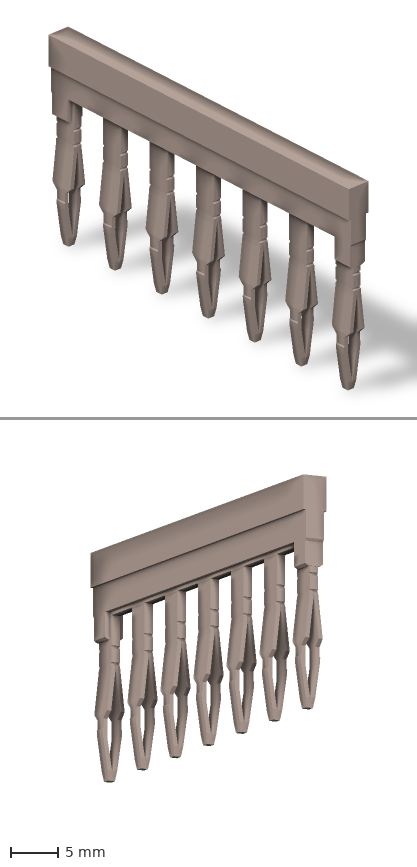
import cadquery as cq
import math


LENGTH = 47.3
BAR_THICKNESS = 2.8
BAR_BOTTOM = -3.75
BODY_THICKNESS = 2.15
BODY_BOTTOM = -6.75
END_INSET = 0.2
END_INSET_HEIGHT = 0.3
TAB_INNER_X = 21.0
TAB_BOTTOM = -9.7
TAB_CHAMFER_HEIGHT = 0.25
TAB_CHAMFER_DEPTH = 0.4

PIN_COUNT = 7
PIN_PITCH = 7.35
PIN_WIDTH = 2.85
PIN_THICKNESS = 1.0
RAIL_THICKNESS = 1.1
RAIL_BOTTOM = -7.15
ROOT_HEIGHT = 0.15
COMB_END_X = 23.2

NOTCH_RADIUS = 0.165
NOTCH_HEIGHTS = (-10.55, -12.35)

SHOULDER_TOP = -17.4
SHOULDER_BOTTOM = -18.15
NECK_WIDTH = 1.3
TIP_TAPER_TOP = -23.65
TIP_WIDTH = 0.85
PIN_BOTTOM = -24.75

BEND_TOP = -12.1
BEND_BOTTOM = -13.1
SPLAY_ANGLE = 6.6
SPLAY_BOTTOM = -17.65
CONTACT_TOP = -18.15
CONTACT_OUTER_Y = 1.1
LEDGE_TOP = -19.15
LEDGE_BOTTOM = -19.3
LEDGE_OUTER_Y = 1.2
TAPER_TOP = -20.55
TAPER_OUTER_Y = 1.05
TAPER_BULGE = 0.025
TAPER_INNER_Y = 0.545
TIP_OUTER_Y = 0.43
WINDOW_BOTTOM = -23.9

BLADE_THICKNESS = PIN_THICKNESS / 2
CONTACT_INNER_Y = CONTACT_OUTER_Y - BLADE_THICKNESS
COMB_LENGTH = (PIN_COUNT - 1) * PIN_PITCH + PIN_WIDTH
SPLAY_SLOPE = math.tan(math.radians(SPLAY_ANGLE))
BEND_SHIFT = (BEND_TOP - BEND_BOTTOM) * math.tan(math.radians(SPLAY_ANGLE / 2))
SPLAY_SHIFT = BEND_SHIFT + (BEND_BOTTOM - SPLAY_BOTTOM) * SPLAY_SLOPE


def block(x_size, y_size, z_bottom, z_top):
    """Box centred on X and Y between two heights."""
    return cq.Workplane("XY").workplane(offset=z_bottom).rect(x_size, y_size).extrude(z_top - z_bottom)


def make_blade():
    """One spring blade on the +Y side, full pin width, joined to its twin above and at the tip."""
    arc_middle_z = (LEDGE_BOTTOM + TAPER_TOP) / 2
    outer_arc_middle = ((LEDGE_OUTER_Y + TAPER_OUTER_Y) / 2 + TAPER_BULGE, arc_middle_z)
    inner_arc_middle = ((CONTACT_INNER_Y + TAPER_INNER_Y) / 2 + TAPER_BULGE, arc_middle_z)
    return (
        cq.Workplane("YZ")
        .moveTo(0, BAR_BOTTOM)
        .lineTo(RAIL_THICKNESS / 2, BAR_BOTTOM)
        .lineTo(RAIL_THICKNESS / 2, RAIL_BOTTOM)
        .lineTo(BLADE_THICKNESS, RAIL_BOTTOM - ROOT_HEIGHT)
        .lineTo(BLADE_THICKNESS, BEND_TOP)
        .tangentArcPoint((BLADE_THICKNESS + BEND_SHIFT, BEND_BOTTOM), relative=False)
        .lineTo(BLADE_THICKNESS + SPLAY_SHIFT, SPLAY_BOTTOM)
        .lineTo(CONTACT_OUTER_Y, CONTACT_TOP)
        .lineTo(CONTACT_OUTER_Y, LEDGE_TOP)
        .lineTo(LEDGE_OUTER_Y, LEDGE_BOTTOM)
        .threePointArc(outer_arc_middle, (TAPER_OUTER_Y, TAPER_TOP))
        .lineTo(TIP_OUTER_Y, PIN_BOTTOM)
        .lineTo(0, PIN_BOTTOM)
        .lineTo(0, WINDOW_BOTTOM)
        .lineTo(TAPER_INNER_Y, TAPER_TOP)
        .threePointArc(inner_arc_middle, (CONTACT_INNER_Y, LEDGE_BOTTOM))
        .lineTo(CONTACT_INNER_Y, CONTACT_TOP)
        .lineTo(SPLAY_SHIFT, SPLAY_BOTTOM)
        .lineTo(BEND_SHIFT, BEND_BOTTOM)
        .lineTo(0, BEND_TOP)
        .close()
        .extrude(PIN_WIDTH / 2, both=True)
    )


def make_front_outline():
    """Pin silhouette with shoulders, narrow neck and tapered tip, extruded through Y."""
    half_outline = [
        (PIN_WIDTH / 2, BAR_BOTTOM),
        (PIN_WIDTH / 2, SHOULDER_TOP),
        (NECK_WIDTH / 2, SHOULDER_BOTTOM),
        (NECK_WIDTH / 2, TIP_TAPER_TOP),
        (TIP_WIDTH / 2, PIN_BOTTOM),
    ]
    other_half = [(-x, z) for x, z in reversed(half_outline)]
    return cq.Workplane("XZ").polyline(half_outline + other_half).close().extrude(BAR_THICKNESS / 2, both=True)


def make_pin():
    """Split spring pin centred on X = 0."""
    blade = make_blade()
    pin = blade.union(blade.mirror("XZ")).intersect(make_front_outline())
    notch_centers = [(side * PIN_WIDTH / 2, z) for side in (-1, 1) for z in NOTCH_HEIGHTS]
    notches = (
        cq.Workplane("XZ").pushPoints(notch_centers).circle(NOTCH_RADIUS).extrude(BAR_THICKNESS / 2, both=True)
    )
    return pin.cut(notches)


def make_comb():
    """Rail with the row of pins hanging from it, as one piece of metal."""
    comb = block(COMB_LENGTH, RAIL_THICKNESS, RAIL_BOTTOM, BAR_BOTTOM)
    pin = make_pin()
    for index in range(PIN_COUNT):
        x = (index - (PIN_COUNT - 1) / 2) * PIN_PITCH
        comb = comb.union(pin.translate((x, 0, 0)))
    inside_housing = block(LENGTH, BAR_THICKNESS, TAB_BOTTOM, BAR_BOTTOM)
    covered_ends = inside_housing.cut(block(2 * COMB_END_X, BAR_THICKNESS, TAB_BOTTOM, BAR_BOTTOM))
    return comb.cut(covered_ends)


def make_body():
    """Lower housing body with an end tab at each side, chamfered along the tab bottoms."""
    half_length = LENGTH / 2
    inset_x = half_length - END_INSET
    half_outline = [
        (half_length, BAR_BOTTOM),
        (half_length, BODY_BOTTOM),
        (inset_x, BODY_BOTTOM - END_INSET_HEIGHT),
        (inset_x, TAB_BOTTOM),
        (TAB_INNER_X, TAB_BOTTOM),
        (TAB_INNER_X, BODY_BOTTOM),
    ]
    other_half = [(-x, z) for x, z in reversed(half_outline)]
    outline = cq.Workplane("XZ").polyline(half_outline + other_half).close()
    body = outline.extrude(BODY_THICKNESS / 2, both=True)

    half_thickness = BODY_THICKNESS / 2
    half_section = [
        (half_thickness, BAR_BOTTOM),
        (half_thickness, TAB_BOTTOM + TAB_CHAMFER_HEIGHT),
        (half_thickness - TAB_CHAMFER_DEPTH, TAB_BOTTOM),
    ]
    other_section = [(-y, z) for y, z in reversed(half_section)]
    section = cq.Workplane("YZ").polyline(half_section + other_section).close()
    return body.intersect(section.extrude(half_length, both=True))


def make_housing(comb):
    """Top bar and body, with a recess that matches the comb."""
    bar = block(LENGTH, BAR_THICKNESS, BAR_BOTTOM, 0)
    return bar.union(make_body()).cut(comb)


comb = make_comb()
housing = make_housing(comb)

result = cq.Compound.makeCompound([housing.val(), comb.val()])